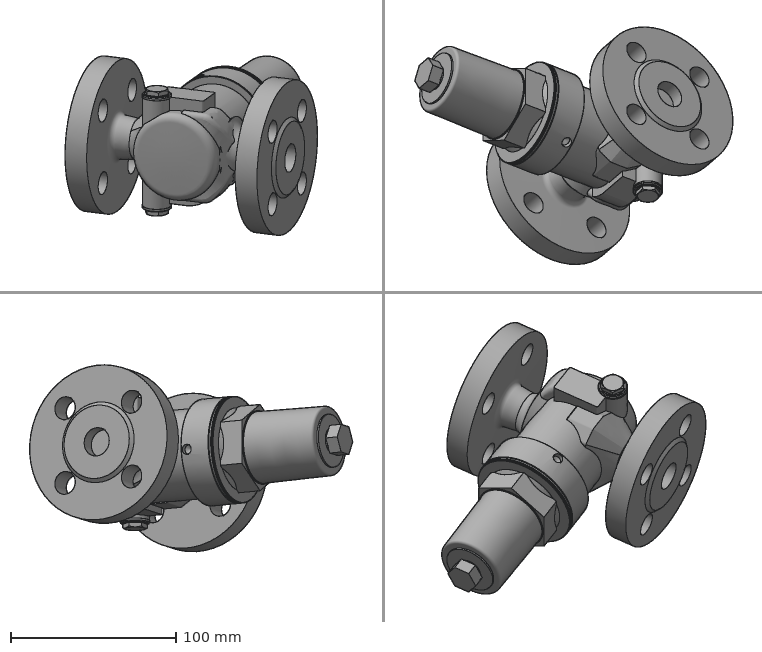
import cadquery as cq
import math


length = 130.0
overall_depth = 183.28
flange_diameter = 95.0
raised_face_height = 2.0
raised_face_diameter = 45.0
raised_face_base_diameter = 49.4
flange_rim_thickness = 14.3
flange_back_taper = 0.7
bolt_circle = 65.0
bolt_hole_diameter = 14.0
bolt_hole_count = 4
first_bolt_angle = 45.0
bore_diameter = 17.34
bore_depth = 9.0
neck_flange_diameter = 27.0
neck_diameter = 25.0
neck_fillet = 3.5
neck_cone_length = 9.0

end_face_x = length / 2
flange_front_x = end_face_x - raised_face_height
flange_back_x = flange_front_x - flange_rim_thickness
flange_hub_x = flange_back_x - flange_back_taper
neck_fillet_end_x = flange_hub_x - neck_fillet
neck_end_x = neck_fillet_end_x - neck_cone_length

body_diameter = 55.0
body_fillet = 5.0
body_bottom_y = -29.4
body_dome_rise = 0.8

ring_diameter = 65.0
ring_bottom_y = 40.1
ring_top_y = 62.3
ring_seam_positions = (59.0, 60.8)
ring_edge_chamfer = 0.4
seam_width = 0.4
seam_depth = 0.3
pin_hole_diameter = 6.1
pin_hole_depth = 3.5
drill_point_angle = 118.0
pin_hole_y = 44.2
pin_hole_first_angle = 114.2
pin_hole_count = 3

bonnet_hex_flats = 46.0
bonnet_hex_top_y = 77.1
hex_root_radius = 25.3
hex_root_height = 2.4

cap_base_radius = 21.9
cap_top_radius = 21.2
cap_top_y = 125.2
cap_edge_radius = 1.6
cap_plate_radius = 16.2
cap_plate_height = 1.1
cap_collar_radius = 22.4
cap_collar_height = 0.6

screw_neck_diameter = 15.0
screw_head_flats = 17.0
screw_head_height = 7.9
screw_end_y = overall_depth - flange_diameter / 2

duct_half_height = 28.2
inlet_shoulder_x = -19.0
inlet_end_x = -1.0
inlet_flat_top_y = 12.1
inlet_flat_bottom_y = 0.2
inlet_roof_y = 21.0
inlet_floor_y = -18.0
inlet_slope = 1.6
inlet_edge_fillet = 2.0

outlet_start_x = 3.0
outlet_bend_x = 17.0
outlet_end_x = 37.0
outlet_end_half_height = 8.5
outlet_start_top_y = -7.0
outlet_bend_top_y = -4.0
outlet_bend_bottom_y = -23.5
outlet_end_half_width = 8.0
outlet_upper_bend = (26.0, 1.0)
outlet_lower_curve = [(30.5, -14.5), (26.0, -20.5)]
outlet_plan_curve = [(24.6, 23.6), (29.0, 17.0)]
outlet_edge_fillet = 3.0
flare_inner_x = 20.0
flare_inner_radius = 17.0
flare_rim_x = 27.3
flare_rim_radius = 21.0
flare_mid = (29.8, 16.0)

boss_x = -15.2
boss_y = -17.6
boss_diameter = 17.6
boss_half_height = 36.2
boss_rim_diameter = 18.0
boss_rim_height = 1.8
boss_rim_chamfer = 0.6
plug_hex_flats = 13.0
plug_collar_diameter = 15.0
plug_collar_height = 0.4
plug_height = 3.3
plug_end_chamfer = 1.2

plate_half_width = 15.5
plate_min_y = -18.3
plate_max_y = 1.0
plate_top_z = 35.3
plate_corner_radius = 1.0
lower_pad_z = -32.3
lower_pad_flat_end_x = 5.5
lower_pad_end_x = 17.0
lower_pad_curve_mid = (11.5, -31.0)


def turned_about_y(points):
    """Solid of revolution from (radius, y) points."""
    return cq.Workplane("XY").polyline(points).close().revolve(360, (0, 0), (0, 1))


def hexagon_along_y(flats, start_y, end_y, corner_angle):
    """Hexagonal prism along Y, with a corner at the given angle from +X."""
    prism = (
        cq.Workplane("XY")
        .polygon(6, flats / math.cos(math.pi / 6))
        .extrude(end_y - start_y)
        .rotate((0, 0, 0), (0, 0, 1), corner_angle)
    )
    return prism.rotate((0, 0, 0), (1, 0, 0), -90).translate((0, start_y, 0))


def flanged_end():
    """Flange with raised face and tapered neck on the -X side."""
    flange = (
        cq.Workplane("XY")
        .moveTo(-end_face_x, 0)
        .lineTo(-end_face_x, raised_face_diameter / 2)
        .lineTo(-flange_front_x, raised_face_base_diameter / 2)
        .lineTo(-flange_front_x, flange_diameter / 2)
        .lineTo(-flange_back_x, flange_diameter / 2)
        .lineTo(-flange_hub_x, neck_flange_diameter / 2 + neck_fillet)
        .radiusArc((-neck_fillet_end_x, neck_flange_diameter / 2), -neck_fillet)
        .lineTo(-neck_end_x, neck_diameter / 2)
        .lineTo(0, neck_diameter / 2)
        .lineTo(0, 0)
        .close()
        .revolve(360, (0, 0), (1, 0))
    )
    bolt_holes = (
        cq.Workplane("YZ", origin=(-end_face_x, 0, 0))
        .polarArray(bolt_circle / 2, first_bolt_angle, 360, bolt_hole_count)
        .circle(bolt_hole_diameter / 2)
        .extrude(end_face_x - flange_hub_x + raised_face_height)
    )
    bore = (
        cq.Workplane("YZ", origin=(-end_face_x, 0, 0))
        .circle(bore_diameter / 2)
        .extrude(bore_depth)
    )
    return flange.cut(bolt_holes).cut(bore)


def body_barrel():
    """Cylindrical body with a rounded, slightly domed closed end."""
    radius = body_diameter / 2
    dome_edge_radius = radius - body_fillet
    dome_radius = (dome_edge_radius**2 + body_dome_rise**2) / (2 * body_dome_rise)
    dome_edge_y = body_bottom_y + body_dome_rise
    return (
        cq.Workplane("XY")
        .moveTo(0, body_bottom_y)
        .radiusArc((dome_edge_radius, dome_edge_y), -dome_radius)
        .radiusArc((radius, dome_edge_y + body_fillet), -body_fillet)
        .lineTo(radius, ring_bottom_y)
        .lineTo(0, ring_bottom_y)
        .close()
        .revolve(360, (0, 0), (0, 1))
    )


def inlet_duct():
    """Eight-sided duct that widens from the inlet neck to the body."""
    roof_z = duct_half_height - (inlet_roof_y - inlet_flat_top_y) / inlet_slope
    floor_z = duct_half_height - (inlet_flat_bottom_y - inlet_floor_y) / inlet_slope
    section = [
        (inlet_flat_top_y, duct_half_height),
        (inlet_flat_bottom_y, duct_half_height),
        (inlet_floor_y, floor_z),
        (inlet_floor_y, -floor_z),
        (inlet_flat_bottom_y, -duct_half_height),
        (inlet_flat_top_y, -duct_half_height),
        (inlet_roof_y, -roof_z),
        (inlet_roof_y, roof_z),
    ]
    straight = (
        cq.Workplane("YZ", origin=(inlet_shoulder_x, 0, 0))
        .polyline(section)
        .close()
        .extrude(inlet_end_x - inlet_shoulder_x)
    )
    funnel = (
        cq.Workplane("YZ", origin=(-neck_end_x, 0, 0))
        .circle(neck_diameter / 2)
        .workplane(offset=inlet_shoulder_x + neck_end_x)
        .polyline(section)
        .close()
        .loft(combine=True)
    )
    duct = straight.union(funnel)
    return duct.edges("|X").fillet(inlet_edge_fillet)


def outlet_duct():
    """Curved duct that sweeps from the closed end of the body up to the outlet neck."""
    side_outline = (
        cq.Workplane("XY", origin=(0, 0, -duct_half_height))
        .moveTo(outlet_start_x, outlet_start_top_y)
        .lineTo(outlet_bend_x, outlet_bend_top_y)
        .threePointArc(outlet_upper_bend, (outlet_end_x, outlet_end_half_width))
        .lineTo(outlet_end_x, -outlet_end_half_width)
        .spline(
            outlet_lower_curve + [(outlet_bend_x, outlet_bend_bottom_y)],
            tangents=[(-1, 0), (-1, 0)],
            includeCurrent=True,
        )
        .lineTo(outlet_start_x, outlet_bend_bottom_y)
        .close()
        .extrude(2 * duct_half_height)
    )
    half_plan = (
        cq.Workplane("XZ", origin=(0, body_diameter / 2, 0))
        .moveTo(outlet_start_x, 0)
        .lineTo(outlet_start_x, duct_half_height)
        .lineTo(outlet_bend_x, duct_half_height)
        .spline(
            outlet_plan_curve + [(outlet_end_x, outlet_end_half_height)],
            tangents=[(1, 0), (1, 0)],
            includeCurrent=True,
        )
        .lineTo(outlet_end_x, 0)
        .close()
        .extrude(body_diameter)
    )
    plan = half_plan.union(half_plan.mirror("XY"))
    duct = side_outline.intersect(plan)
    return duct.edges("(not |Z) and (not <X) and (not >X)").fillet(outlet_edge_fillet)


def outlet_flare():
    """Flared root of the outlet neck where it meets the body."""
    return (
        cq.Workplane("XY")
        .moveTo(flare_inner_x, 0)
        .lineTo(flare_inner_x, flare_inner_radius)
        .lineTo(flare_rim_x, flare_rim_radius)
        .threePointArc(flare_mid, (neck_end_x, neck_diameter / 2))
        .lineTo(neck_end_x, 0)
        .close()
        .revolve(360, (0, 0), (1, 0))
    )


def drilled_pin_hole():
    """Radial drilling along +X with a conical bottom, to be cut from the ring."""
    radius = pin_hole_diameter / 2
    outer_x = ring_diameter / 2 + pin_hole_depth
    straight_end_x = ring_diameter / 2 - pin_hole_depth
    tip_x = straight_end_x - radius / math.tan(math.radians(drill_point_angle / 2))
    profile = [(tip_x, 0), (straight_end_x, radius), (outer_x, radius), (outer_x, 0)]
    return (
        cq.Workplane("XY", origin=(0, pin_hole_y, 0))
        .polyline(profile)
        .close()
        .revolve(360, (0, 0), (1, 0))
    )


def bonnet():
    """Clamp ring, hexagon, spring cap and adjusting screw."""
    ring = (
        cq.Workplane("XZ", origin=(0, ring_bottom_y, 0))
        .circle(ring_diameter / 2)
        .extrude(ring_bottom_y - ring_top_y)
        .faces("<Y or >Y")
        .chamfer(ring_edge_chamfer)
    )
    for seam_y in ring_seam_positions:
        seam = (
            cq.Workplane("XZ", origin=(0, seam_y, 0))
            .circle(ring_diameter / 2)
            .circle(ring_diameter / 2 - seam_depth)
            .extrude(-seam_width)
        )
        ring = ring.cut(seam)
    pin_hole = drilled_pin_hole()
    for index in range(pin_hole_count):
        angle = pin_hole_first_angle + index * 360 / pin_hole_count
        ring = ring.cut(pin_hole.rotate((0, 0, 0), (0, 1, 0), -angle))

    hexagon = hexagon_along_y(bonnet_hex_flats, ring_top_y, bonnet_hex_top_y, 90)
    hex_root = turned_about_y([
        (0, ring_top_y),
        (hex_root_radius, ring_top_y),
        (hex_root_radius - hex_root_height, ring_top_y + hex_root_height),
        (0, ring_top_y + hex_root_height),
    ])
    collar_top_y = bonnet_hex_top_y + cap_collar_height
    cap_edge_y = cap_top_y - cap_edge_radius
    screw_head_y = screw_end_y - screw_head_height
    cap = (
        cq.Workplane("XY")
        .moveTo(0, bonnet_hex_top_y)
        .lineTo(cap_collar_radius, bonnet_hex_top_y)
        .lineTo(cap_collar_radius, collar_top_y)
        .lineTo(cap_base_radius, collar_top_y)
        .lineTo(cap_top_radius, cap_edge_y)
        .radiusArc((cap_top_radius - cap_edge_radius, cap_top_y), -cap_edge_radius)
        .lineTo(cap_plate_radius, cap_top_y)
        .lineTo(cap_plate_radius, cap_top_y + cap_plate_height)
        .lineTo(screw_neck_diameter / 2, cap_top_y + cap_plate_height)
        .lineTo(screw_neck_diameter / 2, screw_head_y)
        .lineTo(0, screw_head_y)
        .close()
        .revolve(360, (0, 0), (0, 1))
    )
    screw_head = hexagon_along_y(screw_head_flats, screw_head_y, screw_end_y, 0)
    return ring.union(hexagon).union(hex_root).union(cap).union(screw_head)


def plug_boss():
    """Upper threaded boss with its hexagon plug."""
    boss = (
        cq.Workplane("XY")
        .center(boss_x, boss_y)
        .circle(boss_diameter / 2)
        .extrude(boss_half_height - boss_rim_height)
    )
    rim = (
        cq.Workplane("XY", origin=(boss_x, boss_y, boss_half_height))
        .circle(boss_rim_diameter / 2)
        .extrude(-boss_rim_height)
        .faces(">Z")
        .chamfer(boss_rim_chamfer)
    )
    top = cq.Workplane("XY", origin=(boss_x, boss_y, boss_half_height))
    collar = top.circle(plug_collar_diameter / 2).extrude(plug_collar_height)
    plug_corners = plug_hex_flats / math.cos(math.pi / 6)
    plug = top.polygon(6, plug_corners).extrude(plug_height)
    chamfered_blank = (
        top.circle(plug_corners / 2)
        .extrude(plug_height)
        .faces(">Z")
        .chamfer(plug_end_chamfer * math.tan(math.pi / 6), plug_end_chamfer)
    )
    return boss.union(rim).union(collar).union(plug.intersect(chamfered_blank))


def upper_plate():
    """Rectangular label plate on the +Z side."""
    return (
        cq.Workplane("XY")
        .center(0, (plate_min_y + plate_max_y) / 2)
        .rect(2 * plate_half_width, plate_max_y - plate_min_y)
        .extrude(plate_top_z)
        .edges("|Z")
        .fillet(plate_corner_radius)
    )


def lower_pad():
    """Pad on the -Z side that curves back into the body towards +X."""
    return (
        cq.Workplane("XZ", origin=(0, plate_max_y, 0))
        .moveTo(-plate_half_width, 0)
        .lineTo(-plate_half_width, lower_pad_z)
        .lineTo(lower_pad_flat_end_x, lower_pad_z)
        .threePointArc(lower_pad_curve_mid, (lower_pad_end_x, -duct_half_height))
        .lineTo(lower_pad_end_x, 0)
        .close()
        .extrude(plate_max_y - plate_min_y)
    )


inlet = flanged_end()
outlet = inlet.mirror("YZ")
boss = plug_boss()

result = (
    body_barrel()
    .union(inlet_duct())
    .union(outlet_duct())
    .union(outlet_flare())
    .union(inlet)
    .union(outlet)
    .union(boss)
    .union(boss.mirror("XY"))
    .union(upper_plate())
    .union(lower_pad())
    .union(bonnet())
)